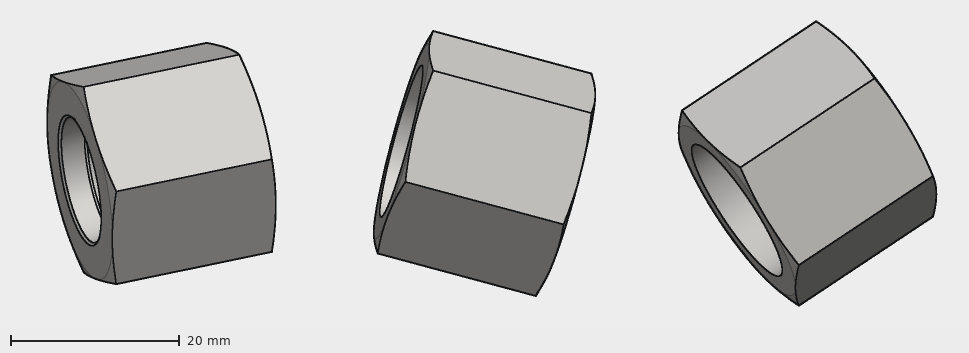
import cadquery as cq
import math

across_corners = 27.7
across_flats = across_corners * math.cos(math.radians(30))
length = 20.5
corner_chamfer_angle = 15.0

bore_diameter = 15.2
bore_length = 3.21
mouth_chamfer = 0.3
flare_depth = 0.22
rear_bore_diameter = 18.62
flare_angle = 30.0


def revolve_about_y(points):
    """Revolve a (radius, y) outline about the Y axis."""
    return cq.Workplane("XY").polyline(points).close().revolve(360, (0, 0, 0), (0, 1, 0))


def hexagonal_body():
    """Hexagonal prism with conically chamfered corners at both ends."""
    corner_radius = across_corners / 2
    face_radius = across_flats / 2
    setback = (corner_radius - face_radius) * math.tan(math.radians(corner_chamfer_angle))
    prism = (
        cq.Workplane("XZ", origin=(0, length / 2, 0))
        .transformed(rotate=(0, 0, 90))
        .polygon(6, across_corners)
        .extrude(length)
    )
    envelope = revolve_about_y([
        (0, -length / 2),
        (face_radius, -length / 2),
        (corner_radius, -length / 2 + setback),
        (corner_radius, length / 2 - setback),
        (face_radius, length / 2),
        (0, length / 2),
    ])
    return prism.intersect(envelope)


def stepped_bore():
    """Front bore with a chamfered mouth and a flared end, stepping out to the wider rear bore."""
    front = -length / 2
    bore_radius = bore_diameter / 2
    rear_radius = rear_bore_diameter / 2
    flare_length = flare_depth / math.tan(math.radians(flare_angle))
    return revolve_about_y([
        (0, front),
        (bore_radius + mouth_chamfer, front),
        (bore_radius, front + mouth_chamfer),
        (bore_radius, front + bore_length),
        (bore_radius + flare_depth, front + bore_length + flare_length),
        (rear_radius, front + bore_length + flare_length),
        (rear_radius, length / 2),
        (0, length / 2),
    ])


result = hexagonal_body().cut(stepped_bore())